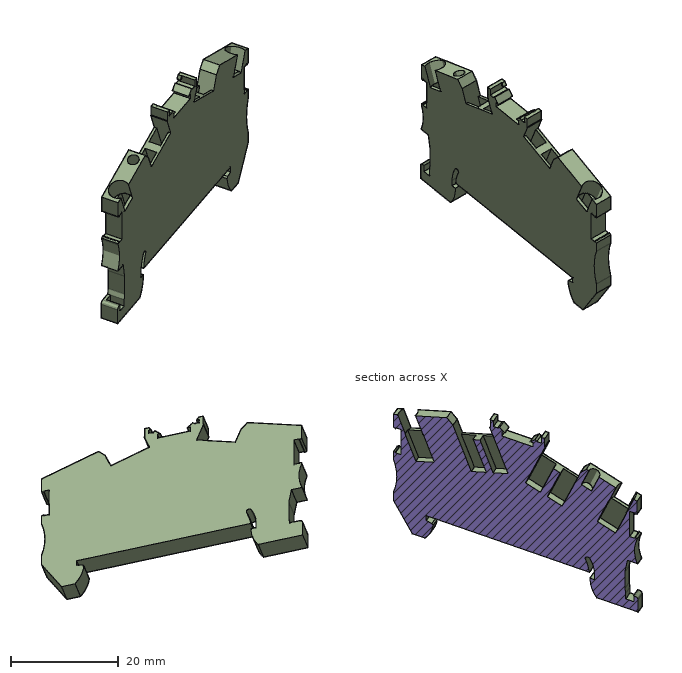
import cadquery as cq
import math

THICKNESS = 3.5
LENGTH = 50.7
HEIGHT = 37.0

SLOPE_DEG = 20.0
SLOPE_COS = math.cos(math.radians(SLOPE_DEG))
SLOPE_TAN = math.tan(math.radians(SLOPE_DEG))
MIDDLE_Y = 25.15
FRONT_DROP = 0.8
FRONT_FACE_Y = 0.2
CREST_REACH = 14.45
CREST_Z = 33.6
BEVEL_DROP = 1.4
VALLEY_REACH = 12.05
VALLEY_Z = 29.15
POST_FOOT_REACH = 4.55

CARRIER_Y = 25.0
POST_OUTER = 5.7
POST_INNER = 4.9
SEAT_HALF = 3.2
SEAT_Z = 33.8
LEDGE_Z = 35.55
LEDGE_END = 4.05
CATCH_PEAK = 3.65
CATCH_PEAK_Z = 35.85
CATCH_TIP = 2.6
CATCH_TIP_Z = 34.8
HOOK_REACH = 0.55
HOOK_TOP_OVERHANG = 0.1
POST_BEND_FLARE = 0.1
HOOK_LOW_Z = 36.3
HOOK_WIDTH = 0.75

NOTCH_DEPTH = 1.5
NOTCH_HEIGHT = 6.45
BACK_NOTCH_Z = 19.75
FRONT_NOTCH_Z = 19.1
LIP_WIDTH = 0.45
LIP_RISE = 0.25

BACK_RECESS_TOP_Z = 17.7
BACK_RECESS_BOTTOM_Z = 9.4
BACK_RECESS_DEPTH = 0.65
BACK_CORNER_Z = 7.0
BACK_FOOT_OUTER_Y = 46.8
BACK_FOOT_INNER_Y = 44.15
BACK_FOOT_TIP = (42.45, 4.2)
BACK_FOOT_BULGE = (43.0, 2.0)
BACK_FOOT_SHOULDER = (42.7, 4.55)
RAIL_BACK_Y = 43.85
RAIL_HOOK_Z = 4.8
RAIL_TOP_Z = 6.0

SLOT_LEFT_Y = 10.1
SLOT_RIGHT_Y = 9.1
SLOT_LEFT_BEND = (10.35, 7.6)
SLOT_LEFT_END = (10.9, 9.25)
SLOT_CROWN = (10.5, 9.85)
SLOT_RIGHT_END = (10.0, 9.6)
SLOT_RIGHT_BEND = (9.35, 7.9)

FRONT_FOOT_TIP_Y = 10.0
FRONT_FOOT_TOP_Z = 4.6
FRONT_FOOT_BULGE = (9.6, 1.8)
FRONT_FOOT_BOTTOM_Y = 8.6
FOOT_STEP_Y = 2.55
FOOT_STEP_Z = 3.95
FOOT_CORNER_RADIUS = 0.6
TROUGH_LIP_Y = 0.95
TROUGH_X_START = 0.6
TROUGH_DEPTH = 1.5
GRIP_FLAT_Y = 2.7
GRIP_FLAT_BOTTOM_Z = 5.15
GRIP_FLAT_TOP_Z = 9.5
GRIP_TOP = (2.2, 12.55)
GRIP_LIP_Y = 0.1
FRONT_RECESS_DEEPEST = (0.7, 15.8)
FRONT_RECESS_TOP_Z = 18.85

POCKET_X_START = 0.55
POCKET_WIDTH = 2.45
POCKET_LENGTH = 3.2
POCKET_DEPTH = 7.85

WIRE_HOLE_DIAMETER = 3.95
WIRE_HOLE_X = 2.3
BACK_WIRE_HOLE_REACH = 22.8
FRONT_WIRE_HOLE_REACH = 22.4
TEST_HOLE_DIAMETER = 2.2
TEST_HOLE_X = 1.8
TEST_HOLE_REACH = 16.0
HOLE_DEPTH = 4.55

CHANNEL_X_START = 0.85
CHANNEL_WIDTH = 2.0
CHANNEL_DEPTH = 11.15

BACK = 1
FRONT = -1


def half_drop(side):
    """Height by which the sloped faces of one half are lowered."""
    return FRONT_DROP if side == FRONT else 0.0


def crest_slope_z(side, reach):
    """Height of the outer slope at a given distance from the middle."""
    return CREST_Z - half_drop(side) - (reach - CREST_REACH) * SLOPE_TAN


def valley_slope_z(side, reach):
    """Height of the inner slope at a given distance from the middle."""
    return VALLEY_Z - half_drop(side) + (VALLEY_REACH - reach) * SLOPE_TAN


def shoulder_points(side):
    """Top edge of one half, from its end face in to the foot of the carrier post."""
    end_y = LENGTH if side == BACK else FRONT_FACE_Y
    end_reach = abs(end_y - MIDDLE_Y)
    bevel_z = CREST_Z - BEVEL_DROP
    bevel_reach = VALLEY_REACH + (bevel_z - VALLEY_Z) * SLOPE_TAN
    profile = [
        (end_reach, crest_slope_z(side, end_reach)),
        (CREST_REACH, crest_slope_z(side, CREST_REACH)),
        (bevel_reach, bevel_z - half_drop(side)),
        (VALLEY_REACH, valley_slope_z(side, VALLEY_REACH)),
        (POST_FOOT_REACH, valley_slope_z(side, POST_FOOT_REACH)),
    ]
    return [(MIDDLE_Y + side * reach, z) for reach, z in profile]


def post_points(side):
    """One carrier post without its hook, from the outer bend in to the seat."""
    foot_y = MIDDLE_Y + side * POST_FOOT_REACH
    foot_z = valley_slope_z(side, POST_FOOT_REACH)
    bend_offset = POST_OUTER + POST_BEND_FLARE
    bend_z = foot_z + (bend_offset - abs(foot_y - CARRIER_Y)) / SLOPE_TAN
    profile = [
        (bend_offset, bend_z),
        (POST_OUTER, bend_z + POST_BEND_FLARE),
        (POST_OUTER, HEIGHT),
        (POST_INNER, HEIGHT),
        (POST_INNER, LEDGE_Z),
        (LEDGE_END, LEDGE_Z),
        (CATCH_PEAK, CATCH_PEAK_Z),
        (CATCH_TIP, CATCH_TIP_Z),
        (SEAT_HALF, CATCH_TIP_Z),
        (SEAT_HALF, SEAT_Z),
    ]
    return [(CARRIER_Y + side * offset, z) for offset, z in profile]


def notch_points(end_y, side, bottom_z):
    """Lipped notch in an end face, listed from bottom to top."""
    top_z = bottom_z + NOTCH_HEIGHT
    lip_y = end_y - side * LIP_WIDTH
    floor_y = end_y - side * NOTCH_DEPTH
    return [
        (end_y, bottom_z),
        (lip_y, bottom_z + LIP_RISE),
        (lip_y, bottom_z),
        (floor_y, bottom_z),
        (floor_y, top_z),
        (lip_y, top_z),
        (lip_y, top_z - LIP_RISE),
        (end_y, top_z),
    ]


def make_body():
    """Plate with the full side outline, traced from the front foot over the top."""
    front_recess_top = (FRONT_FACE_Y, FRONT_RECESS_TOP_Z)
    front_edge = notch_points(FRONT_FACE_Y, FRONT, FRONT_NOTCH_Z)
    front_edge += shoulder_points(FRONT) + post_points(FRONT)
    back_edge = notch_points(LENGTH, BACK, BACK_NOTCH_Z)
    back_edge += shoulder_points(BACK) + post_points(BACK)
    recess_middle_z = (BACK_RECESS_TOP_Z + BACK_RECESS_BOTTOM_Z) / 2
    corner_start_z = FOOT_STEP_Z - FOOT_CORNER_RADIUS
    corner_mid = FOOT_CORNER_RADIUS * (1 - math.sqrt(0.5))

    outline = (
        cq.Workplane("YZ")
        .moveTo(0, 0)
        .lineTo(0, corner_start_z)
        .threePointArc((corner_mid, FOOT_STEP_Z - corner_mid), (FOOT_CORNER_RADIUS, FOOT_STEP_Z))
        .lineTo(FOOT_STEP_Y, FOOT_STEP_Z)
        .lineTo(GRIP_FLAT_Y, GRIP_FLAT_BOTTOM_Z)
        .lineTo(GRIP_FLAT_Y, GRIP_FLAT_TOP_Z)
        .lineTo(*GRIP_TOP)
        .lineTo(GRIP_LIP_Y, GRIP_TOP[1])
        .threePointArc(FRONT_RECESS_DEEPEST, front_recess_top)
        .polyline(front_edge + back_edge[::-1], includeCurrent=True)
        .lineTo(LENGTH, BACK_RECESS_TOP_Z)
        .threePointArc((LENGTH - BACK_RECESS_DEPTH, recess_middle_z), (LENGTH, BACK_RECESS_BOTTOM_Z))
        .lineTo(LENGTH, BACK_CORNER_Z)
        .lineTo(BACK_FOOT_OUTER_Y, 0)
        .lineTo(BACK_FOOT_INNER_Y, 0)
        .threePointArc(BACK_FOOT_BULGE, BACK_FOOT_TIP)
        .lineTo(*BACK_FOOT_SHOULDER)
        .lineTo(RAIL_BACK_Y, RAIL_HOOK_Z)
        .lineTo(RAIL_BACK_Y, RAIL_TOP_Z)
        .lineTo(SLOT_LEFT_Y, RAIL_TOP_Z)
        .threePointArc(SLOT_LEFT_BEND, SLOT_LEFT_END)
        .threePointArc(SLOT_CROWN, SLOT_RIGHT_END)
        .threePointArc(SLOT_RIGHT_BEND, (SLOT_RIGHT_Y, RAIL_TOP_Z))
        .lineTo(SLOT_RIGHT_Y, FRONT_FOOT_TOP_Z)
        .lineTo(FRONT_FOOT_TIP_Y, FRONT_FOOT_TOP_Z)
        .threePointArc(FRONT_FOOT_BULGE, (FRONT_FOOT_BOTTOM_Y, 0))
        .close()
    )
    return outline.extrude(THICKNESS)


def make_hook(side):
    """Short wedge-shaped hook at the -X end of a carrier post."""
    profile = [
        (POST_OUTER, HEIGHT),
        (POST_INNER - HOOK_TOP_OVERHANG, HEIGHT),
        (POST_INNER - HOOK_REACH, HOOK_LOW_Z),
        (POST_OUTER, HOOK_LOW_Z),
    ]
    points = [(CARRIER_Y + side * offset, z) for offset, z in profile]
    return cq.Workplane("YZ").polyline(points).close().extrude(HOOK_WIDTH)


def make_foot_trough():
    """Trough in the step of the front foot, behind its rounded lip, open to the +X face."""
    return cq.Workplane("XY").box(
        THICKNESS - TROUGH_X_START,
        FOOT_STEP_Y - TROUGH_LIP_Y,
        TROUGH_DEPTH,
        centered=False,
    ).translate((TROUGH_X_START, TROUGH_LIP_Y, FOOT_STEP_Z - TROUGH_DEPTH))


def slope_plane(side, x, reach, z):
    """Plane lying on a sloped face: its normal points out, its local x runs along +X."""
    normal = (0, side * SLOPE_TAN, 1)
    return cq.Plane(origin=(x, MIDDLE_Y + side * reach, z), xDir=(1, 0, 0), normal=normal)


def make_pockets(side):
    """Two pockets at the ends of the inner slope, against the shoulder and the post."""
    half_run = POCKET_LENGTH / 2 * SLOPE_COS
    pockets = cq.Workplane("YZ")
    for reach in (VALLEY_REACH - half_run, POST_FOOT_REACH + half_run):
        middle_x = POCKET_X_START + POCKET_WIDTH / 2
        plane = slope_plane(side, middle_x, reach, valley_slope_z(side, reach))
        pockets = pockets.add(cq.Workplane(plane).rect(POCKET_WIDTH, POCKET_LENGTH).extrude(-POCKET_DEPTH))
    return pockets.combine()


def make_hole(side, x, reach, diameter):
    """Blind round hole square to an outer slope."""
    plane = slope_plane(side, x, reach, crest_slope_z(side, reach))
    return cq.Workplane(plane).circle(diameter / 2).extrude(-HOLE_DEPTH)


def make_wire_entry(side, reach):
    """Round mouth open through the +X face, with the rectangular channel behind it."""
    mouth = make_hole(side, WIRE_HOLE_X, reach, WIRE_HOLE_DIAMETER)
    middle_x = CHANNEL_X_START + CHANNEL_WIDTH / 2
    plane = slope_plane(side, middle_x, reach, crest_slope_z(side, reach))
    channel = (
        cq.Workplane(plane)
        .workplane(offset=-HOLE_DEPTH)
        .rect(CHANNEL_WIDTH, WIRE_HOLE_DIAMETER)
        .extrude(HOLE_DEPTH - CHANNEL_DEPTH)
    )
    return mouth.union(channel)


result = make_body().cut(make_foot_trough())
for half in (FRONT, BACK):
    result = result.union(make_hook(half)).cut(make_pockets(half))
result = result.cut(make_wire_entry(BACK, BACK_WIRE_HOLE_REACH))
result = result.cut(make_wire_entry(FRONT, FRONT_WIRE_HOLE_REACH))
result = result.cut(make_hole(FRONT, TEST_HOLE_X, TEST_HOLE_REACH, TEST_HOLE_DIAMETER))